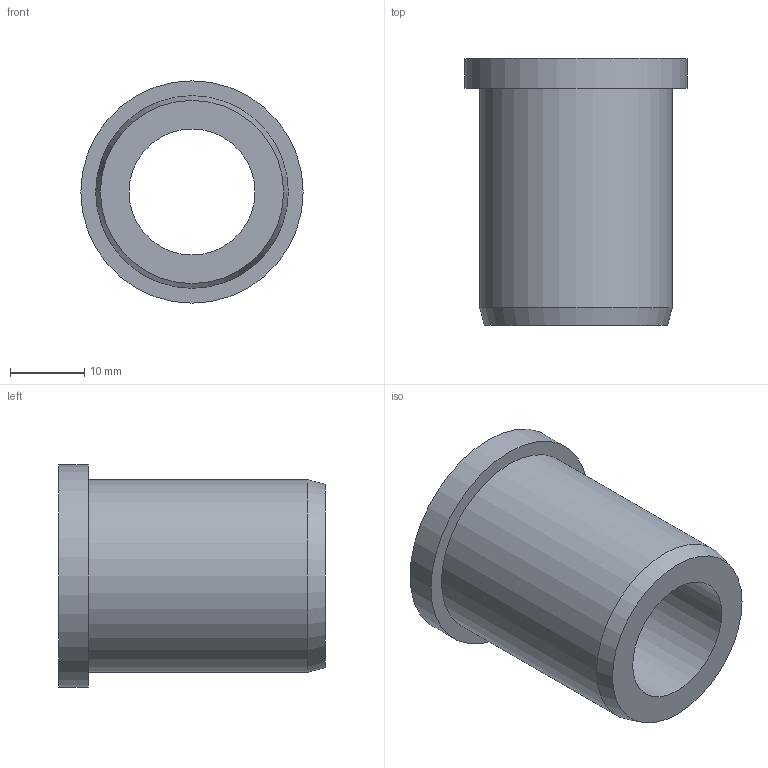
import cadquery as cq
import math

flange_diameter = 30.0
flange_thickness = 4.0
body_diameter = 26.0
bore_diameter = 17.0
total_length = 36.0
lead_in_length = 2.4
lead_in_angle = 15.0

flange_radius = flange_diameter / 2
body_radius = body_diameter / 2
bore_radius = bore_diameter / 2
tip_radius = body_radius - lead_in_length * math.tan(math.radians(lead_in_angle))

flange_face_y = flange_thickness
shoulder_y = 0.0
tip_y = flange_face_y - total_length
lead_in_start_y = tip_y + lead_in_length


def make_bushing():
    """Revolve the half section of the flanged bushing about the Y axis."""
    half_section = (
        cq.Workplane("XY")
        .moveTo(bore_radius, flange_face_y)
        .lineTo(flange_radius, flange_face_y)
        .lineTo(flange_radius, shoulder_y)
        .lineTo(body_radius, shoulder_y)
        .lineTo(body_radius, lead_in_start_y)
        .lineTo(tip_radius, tip_y)
        .lineTo(bore_radius, tip_y)
        .close()
    )
    return half_section.revolve(360, (0, 0, 0), (0, 1, 0))


result = make_bushing()